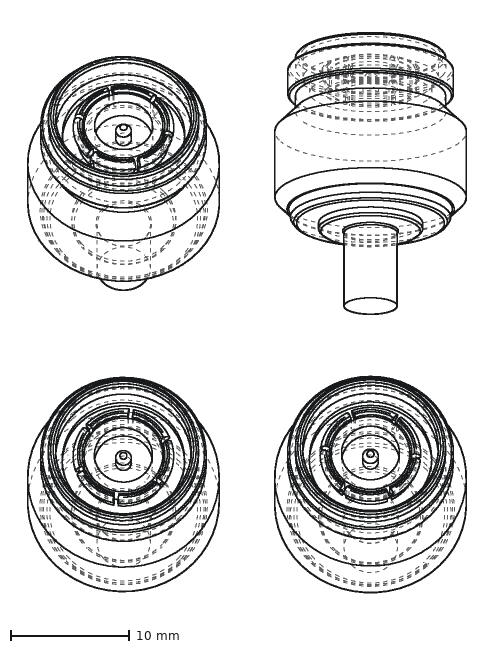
import cadquery as cq

total_height = 22.3

tube_radius = 2.25
collar_radius = 7.0
neck_radius = 6.35
body_radius = 8.1
shoulder_radius = 7.07
ring_top_radius = 6.92
ring_mid_radius = 6.78
ring_low_radius = 6.5
ring_end_radius = 6.25
flange_radius = 4.4
flare_radius = 2.35

tube_top = 6.5
flare_top = 6.67
flange_top = 7.37
ring_low = 7.5
ring_mid = 7.9
ring_break = 8.06
ring_top = 8.62
body_bottom = ring_top + body_radius - shoulder_radius
body_top = 15.56
neck_bottom = body_top + body_radius - neck_radius
collar_bottom = 18.7
collar_top = 21.12

rim_chamfer = 0.2
collar_chamfer = 0.15
flange_chamfer = 0.2

bore_radius = 5.73
cavity_radius = 5.17
floor_level = total_height - 3.3
bore_bottom = total_height - 1.96
cavity_top = bore_bottom - (bore_radius - cavity_radius)

collet_top = total_height - 1.15
collet_bore_radius = 3.5
collet_radius = 3.88
collet_bore_chamfer = 0.21
bead_radius = 4.25
bead_height = 0.96
slot_width = 0.4
slot_pair_count = 3

insulator_radius = 3.33
insulator_bore_radius = 2.45
insulator_top = total_height - 1.33
pin_radius = 0.66
pin_tip_radius = 0.3
pin_top = total_height - 1.55
pin_taper_height = 0.5


def revolve_profile(profile):
    """Revolve a closed (radius, height) profile about Z."""
    return profile.close().revolve(360, (0, 0, 0), (0, 1, 0))


def ring(outer_radius, inner_radius, bottom, top):
    """Plain tube between two levels."""
    sketch = cq.Workplane("XY").workplane(offset=bottom)
    return sketch.circle(outer_radius).circle(inner_radius).extrude(top - bottom)


def make_body():
    """Outer shell, still solid inside."""
    outline = [
        (0, 0),
        (tube_radius, 0),
        (tube_radius, tube_top),
        (flare_radius, flare_top),
        (flange_radius - flange_chamfer, flare_top),
        (flange_radius, flare_top + flange_chamfer),
        (flange_radius, flange_top),
        (ring_end_radius, flange_top),
        (ring_low_radius, ring_low),
        (ring_mid_radius, ring_mid),
        (ring_mid_radius, ring_break),
        (ring_top_radius, ring_top),
        (shoulder_radius, ring_top),
        (body_radius, body_bottom),
        (body_radius, body_top),
        (neck_radius, neck_bottom),
        (neck_radius, collar_bottom),
        (collar_radius - collar_chamfer, collar_bottom),
        (collar_radius, collar_bottom + collar_chamfer),
        (collar_radius, collar_top - collar_chamfer),
        (collar_radius - collar_chamfer, collar_top),
        (neck_radius, collar_top),
        (neck_radius, total_height - rim_chamfer),
        (neck_radius - rim_chamfer, total_height),
        (0, total_height),
    ]
    return revolve_profile(cq.Workplane("XZ").polyline(outline))


def make_cavity():
    """Chamfered bore that narrows through a cone to a flat floor."""
    outline = [
        (0, floor_level),
        (cavity_radius, floor_level),
        (cavity_radius, cavity_top),
        (bore_radius, bore_bottom),
        (bore_radius, total_height - rim_chamfer),
        (bore_radius + rim_chamfer, total_height),
        (0, total_height),
    ]
    return revolve_profile(cq.Workplane("XZ").polyline(outline))


def make_collet():
    """Ring of spring fingers separated by slots across the full diameter."""
    bead_bottom = collet_top - bead_height
    bead_middle = collet_top - bead_height / 2
    profile = (
        cq.Workplane("XZ")
        .moveTo(collet_bore_radius, floor_level)
        .lineTo(collet_radius, floor_level)
        .lineTo(collet_radius, bead_bottom)
        .threePointArc((bead_radius, bead_middle), (collet_radius, collet_top))
        .lineTo(collet_bore_radius + collet_bore_chamfer, collet_top)
        .lineTo(collet_bore_radius, collet_top - collet_bore_chamfer)
    )
    collet = revolve_profile(profile)
    slot_height = collet_top - floor_level
    for index in range(slot_pair_count):
        slot = (
            cq.Workplane("XY")
            .workplane(offset=floor_level)
            .rect(2 * cavity_radius, slot_width)
            .extrude(slot_height)
            .rotate((0, 0, 0), (0, 0, 1), index * 180 / slot_pair_count)
        )
        collet = collet.cut(slot)
    return collet


def make_pin():
    """Centre contact with a tapered tip."""
    outline = [
        (0, floor_level),
        (pin_radius, floor_level),
        (pin_radius, pin_top - pin_taper_height),
        (pin_tip_radius, pin_top),
        (0, pin_top),
    ]
    return revolve_profile(cq.Workplane("XZ").polyline(outline))


insulator = ring(insulator_radius, insulator_bore_radius, floor_level, insulator_top)
result = make_body().cut(make_cavity())
result = result.union(make_collet()).union(insulator).union(make_pin())